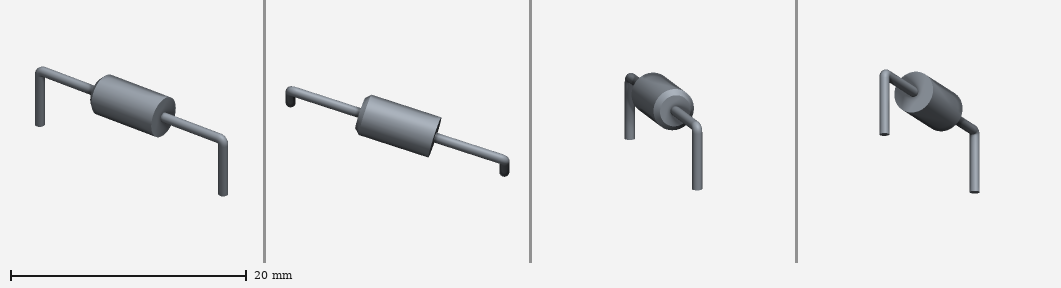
import cadquery as cq

overall_length = 19.96
overall_height = 7.2
body_diameter = 3.6
body_length = 6.67
body_chamfer = 0.44
lead_diameter = 0.85
bend_radius = 0.44

leg_x = (overall_length - lead_diameter) / 2
leg_bottom_z = body_diameter / 2 - overall_height


def make_body():
    """Cylinder along X, chamfered around its -X end only."""
    return (
        cq.Workplane("YZ", origin=(-body_length / 2, 0, 0))
        .circle(body_diameter / 2)
        .extrude(body_length)
        .faces("<X")
        .chamfer(body_chamfer)
    )


def make_lead(side):
    """Round wire from one body end, bent down into a leg; side is -1 or +1 along X."""
    body_end = (side * body_length / 2, 0)
    bend_start = (side * (leg_x - bend_radius), 0)
    bend_end = (side * leg_x, -bend_radius)
    leg_end = (side * leg_x, leg_bottom_z)
    centreline = (
        cq.Workplane("XZ")
        .moveTo(*body_end)
        .lineTo(*bend_start)
        .tangentArcPoint(bend_end, relative=False)
        .lineTo(*leg_end)
    )
    return (
        cq.Workplane("YZ", origin=(body_end[0], 0, 0))
        .circle(lead_diameter / 2)
        .sweep(centreline)
    )


body = make_body()
leads = [make_lead(side) for side in (-1, 1)]

result = cq.Compound.makeCompound([body.val(), *[lead.val() for lead in leads]])